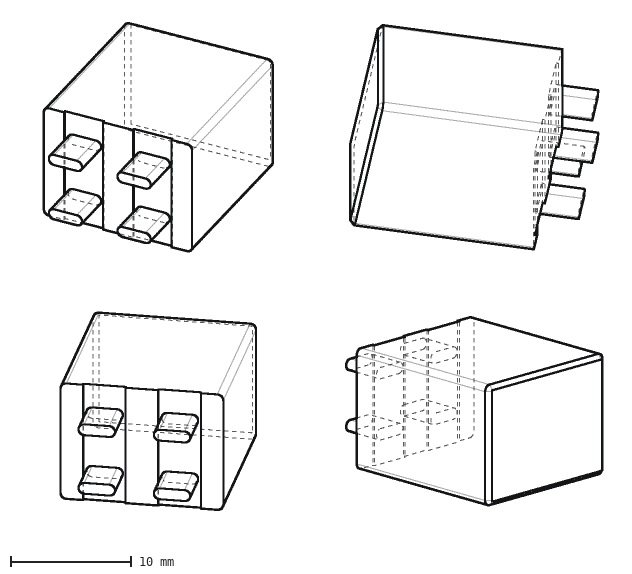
import cadquery as cq

overall_length = 18.87
housing_width = 13.72
housing_height = 10.42
pin_protrusion = 3.4
housing_length = overall_length - pin_protrusion
edge_radius = 0.51
back_chamfer = 0.4

groove_width = 3.59
groove_depth = 0.19

pin_width = 3.08
pin_thickness = 0.98
pin_length = pin_protrusion + groove_depth
column_spacing = 6.34
row_spacing = 5.28

column_positions = [-column_spacing / 2, column_spacing / 2]
row_positions = [-row_spacing / 2, row_spacing / 2]


def make_housing():
    """Block with rounded long edges, a chamfered back and grooves in the pin face."""
    block = cq.Workplane("XY").box(
        housing_width, housing_length, housing_height, centered=(True, False, True)
    )
    block = block.edges("|Y").fillet(edge_radius)
    block = block.faces(">Y").chamfer(back_chamfer)
    for x in column_positions:
        groove = (
            cq.Workplane("XY")
            .box(groove_width, groove_depth, housing_height, centered=(True, False, True))
            .translate((x, 0, 0))
        )
        block = block.cut(groove)
    return block.solids()


def make_pin(x, z):
    """Flat pin standing on a groove floor and pointing toward -Y."""
    return (
        cq.Workplane("XZ", origin=(x, groove_depth, z))
        .slot2D(pin_width, pin_thickness)
        .extrude(pin_length)
    )


housing = make_housing()
pins = [make_pin(x, z) for x in column_positions for z in row_positions]

result = cq.Compound.makeCompound([housing.val(), *[pin.val() for pin in pins]])